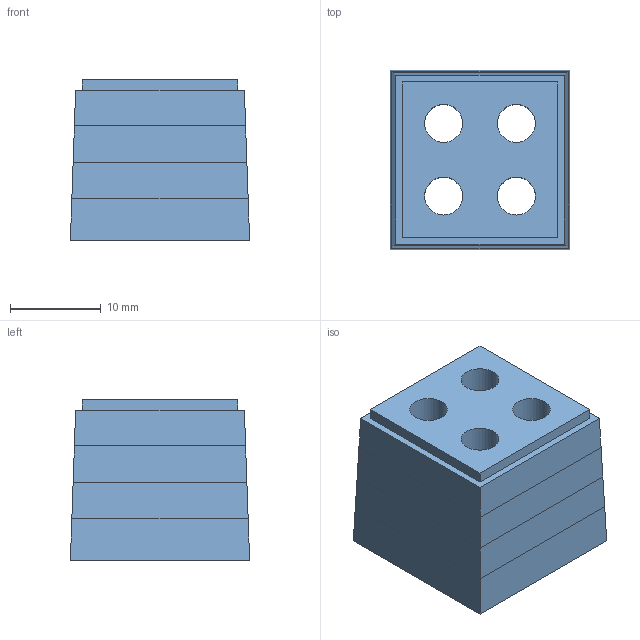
import cadquery as cq
import math

BASE_SIDE = 19.714
TOTAL_HEIGHT = 17.7
CAP_SIDE = 17.1
CAP_HEIGHT = 1.2
DRAFT_ANGLE = 2.0
FIRST_SEAM_HEIGHT = 4.6
SEAM_SPACING = 4.0
SEAM_COUNT = 3
HOLE_DIAMETER = 4.17
HOLE_SPACING = 8.0
HOLES_PER_SIDE = 2

BODY_HEIGHT = TOTAL_HEIGHT - CAP_HEIGHT
SEAM_HEIGHTS = [FIRST_SEAM_HEIGHT + i * SEAM_SPACING for i in range(SEAM_COUNT)]


def body_side(height):
    """Side of the square body section at a given height."""
    return BASE_SIDE - 2 * height * math.tan(math.radians(DRAFT_ANGLE))


def make_band(bottom, top):
    """Tapered square slice of the body between two heights."""
    side = body_side(bottom)
    return (
        cq.Workplane("XY", origin=(0, 0, bottom))
        .rect(side, side)
        .extrude(top - bottom, taper=DRAFT_ANGLE)
    )


def make_body():
    """Stack of tapered bands whose flush walls stay split at the seams."""
    levels = [0.0] + SEAM_HEIGHTS + [BODY_HEIGHT]
    body = make_band(levels[0], levels[1])
    for bottom, top in zip(levels[1:], levels[2:]):
        body = body.union(make_band(bottom, top), clean=False)
    return body


def make_cap():
    """Smaller square plate on top of the body."""
    return (
        cq.Workplane("XY", origin=(0, 0, BODY_HEIGHT))
        .rect(CAP_SIDE, CAP_SIDE)
        .extrude(CAP_HEIGHT)
    )


def make_holes():
    """Square pattern of vertical cylinders running the full height."""
    return (
        cq.Workplane("XY")
        .rarray(HOLE_SPACING, HOLE_SPACING, HOLES_PER_SIDE, HOLES_PER_SIDE)
        .circle(HOLE_DIAMETER / 2)
        .extrude(TOTAL_HEIGHT)
    )


result = make_body().union(make_cap(), clean=False).cut(make_holes(), clean=False)